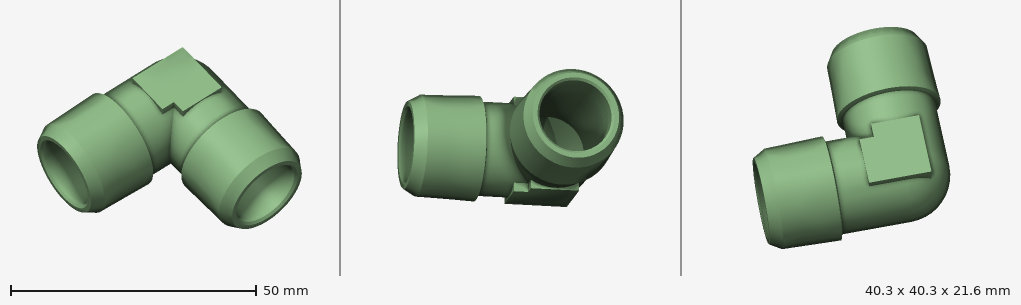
import cadquery as cq
import math

collar_radius = 10.8
overall_length = 40.3
arm_length = overall_length - collar_radius
pipe_radius = 9.65

collar_start = 14.5
back_bevel_length = 0.35
nose_start = 27.0
nose_radius = 9.0
taper_slope = 1 / 32
taper_start = collar_start + back_bevel_length
taper_end_radius = collar_radius - taper_slope * (nose_start - taper_start)

bore_radius = 7.5
mouth_bevel = 0.5
drill_tip_angle = 118
drill_tip_length = bore_radius / math.tan(math.radians(drill_tip_angle / 2))

pad_size = 13.0
pad_reach = 8.05
pad_notch = 3.0
pad_span = 20.0


def revolve_along_x(profile):
    """Revolve a closed (axial position, radius) profile about the X axis."""
    return cq.Workplane("XY").polyline(profile).close().revolve(360, (0, 0, 0), (1, 0, 0))


def make_both_arms(arm_along_x):
    """Join an arm along +X with its copy turned onto -Y."""
    return arm_along_x.union(arm_along_x.rotate((0, 0, 0), (0, 0, 1), -90))


def make_outer_arm():
    return revolve_along_x([
        (0, 0),
        (0, pipe_radius),
        (collar_start, pipe_radius),
        (taper_start, collar_radius),
        (nose_start, taper_end_radius),
        (arm_length, nose_radius),
        (arm_length, 0),
    ])


def make_bore():
    return revolve_along_x([
        (-drill_tip_length, 0),
        (0, bore_radius),
        (arm_length - mouth_bevel, bore_radius),
        (arm_length, bore_radius + mouth_bevel),
        (arm_length, 0),
    ])


def make_pad_block():
    """Square block through the elbow, notched at its inside corner."""
    far_edge = pad_reach - pad_size
    notch_edge = pad_reach - pad_notch
    return (
        cq.Workplane("XY")
        .polyline([
            (far_edge, -far_edge),
            (pad_reach, -far_edge),
            (pad_reach, -notch_edge),
            (notch_edge, -notch_edge),
            (notch_edge, -pad_reach),
            (far_edge, -pad_reach),
        ])
        .close()
        .extrude(pad_span / 2, both=True)
    )


rounded_corner = cq.Workplane("XY").sphere(pipe_radius)
body = make_both_arms(make_outer_arm()).union(rounded_corner).union(make_pad_block())
result = body.cut(make_both_arms(make_bore()))